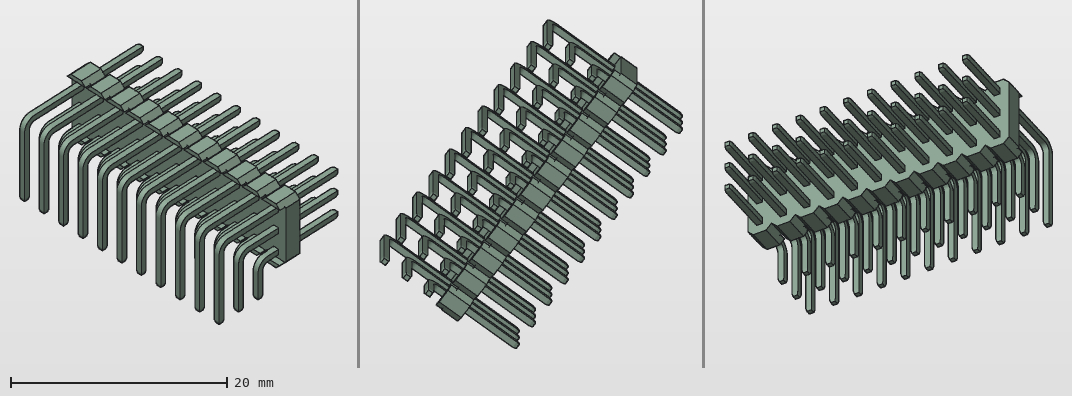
import cadquery as cq

COLUMNS = 11
ROWS = 3
BODY_LENGTH = 27.95
PITCH = BODY_LENGTH / COLUMNS

BODY_HEIGHT = ROWS * PITCH
BODY_DEPTH = PITCH
CORNER_CUT = 0.6
RECESS_DEPTH = 0.7
LIP_THICKNESS = 0.5

PIN_WIDTH = 0.65
HALF_PIN = PIN_WIDTH / 2
REAR_REACH = 5.98
FRONT_REACH = 9.6
LEG_DROP = 3.0
BEND_RADIUS = 1.0
TIP_LENGTH = 0.34
TIP_INSET = 0.08

FIRST_COLUMN_X = -BODY_LENGTH / 2 + PITCH / 2
FIRST_ROW_Z = PITCH / 2


def body_cell(x):
    """One octagonal cell of the body, as deep as the lips."""
    cell = cq.Workplane("XY").box(PITCH, BODY_DEPTH, BODY_HEIGHT).edges("|Y").chamfer(CORNER_CUT)
    return cell.translate((x, -BODY_DEPTH / 2, BODY_HEIGHT / 2))


def front_recess():
    """Full-length channel in the front face that leaves a lip above and below."""
    height = BODY_HEIGHT - 2 * LIP_THICKNESS
    channel = cq.Workplane("XY").box(BODY_LENGTH, RECESS_DEPTH, height)
    return channel.translate((0, RECESS_DEPTH / 2 - BODY_DEPTH, BODY_HEIGHT / 2))


def tapered_tip(plane):
    """Tapered pin end that starts on the plane and grows along its normal."""
    tip_width = PIN_WIDTH - 2 * TIP_INSET
    return (
        cq.Workplane(plane)
        .rect(PIN_WIDTH, PIN_WIDTH)
        .workplane(offset=TIP_LENGTH)
        .rect(tip_width, tip_width)
        .loft(combine=True)
    )


def bent_pin(row):
    """Pin of one row, centred on X = 0: straight through the body, then bent down."""
    z = FIRST_ROW_Z + row * PITCH
    leg_y = -FRONT_REACH + HALF_PIN + (ROWS - 1 - row) * PITCH
    rear_y = REAR_REACH - TIP_LENGTH
    leg_end_z = -LEG_DROP + TIP_LENGTH
    outer_radius = BEND_RADIUS + HALF_PIN
    inner_radius = BEND_RADIUS - HALF_PIN

    shaft = (
        cq.Workplane("YZ")
        .moveTo(rear_y, z + HALF_PIN)
        .lineTo(leg_y + BEND_RADIUS, z + HALF_PIN)
        .radiusArc((leg_y - HALF_PIN, z - BEND_RADIUS), -outer_radius)
        .lineTo(leg_y - HALF_PIN, leg_end_z)
        .lineTo(leg_y + HALF_PIN, leg_end_z)
        .lineTo(leg_y + HALF_PIN, z - BEND_RADIUS)
        .radiusArc((leg_y + BEND_RADIUS, z - HALF_PIN), inner_radius)
        .lineTo(rear_y, z - HALF_PIN)
        .close()
        .extrude(HALF_PIN, both=True)
    )
    rear_tip = tapered_tip(cq.Plane(origin=(0, rear_y, z), xDir=(1, 0, 0), normal=(0, 1, 0)))
    leg_tip = tapered_tip(cq.Plane(origin=(0, leg_y, leg_end_z), xDir=(1, 0, 0), normal=(0, 0, -1)))
    return shaft.union(rear_tip).union(leg_tip)


column_positions = [FIRST_COLUMN_X + column * PITCH for column in range(COLUMNS)]

body = body_cell(column_positions[0])
for x in column_positions[1:]:
    body = body.union(body_cell(x))
result = body.cut(front_recess())

for row in range(ROWS):
    pin = bent_pin(row)
    for x in column_positions:
        result = result.union(pin.translate((x, 0, 0)))